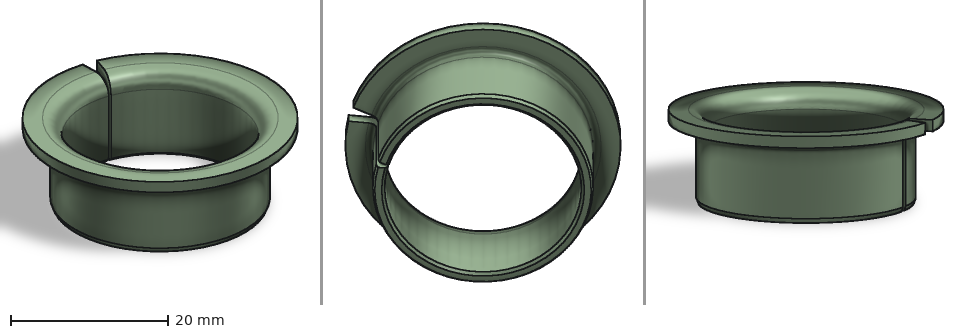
import cadquery as cq
import math

flange_radius = 17.5
height = 12.0
wall = 1.5
body_radius = 14.0
inner_bend_radius = 2.5
chamfer_height = 0.63
chamfer_width = 0.25
bore_chamfer = 0.4
gap_half_angle = 10.0
gap_half_width = 0.17

bore_radius = body_radius - wall
outer_bend_radius = inner_bend_radius - wall
bend_center_radius = bore_radius + inner_bend_radius
bend_center_z = height - inner_bend_radius


def bend_middle(radius):
    """Midpoint of a quarter-circle bend about the shared bend centre."""
    offset = radius * math.sqrt(0.5)
    return bend_center_radius - offset, bend_center_z + offset


def make_flanged_sleeve():
    """Revolve the constant-thickness wall about Z, with its foot at Z = 0."""
    return (
        cq.Workplane("XZ")
        .moveTo(bore_radius, bore_chamfer)
        .lineTo(bore_radius + bore_chamfer, 0)
        .lineTo(body_radius - chamfer_width, 0)
        .lineTo(body_radius, chamfer_height)
        .lineTo(body_radius, bend_center_z)
        .threePointArc(bend_middle(outer_bend_radius), (bend_center_radius, height - wall))
        .lineTo(flange_radius, height - wall)
        .lineTo(flange_radius, height)
        .lineTo(bend_center_radius, height)
        .threePointArc(bend_middle(inner_bend_radius), (bore_radius, bend_center_z))
        .close()
        .revolve(360, (0, 0), (0, 1))
        .rotate((0, 0, 0), (0, 0, 1), 180)
    )


def make_split_wedge():
    """Wedge that opens outward toward -X through the full height."""
    slope = math.tan(math.radians(gap_half_angle))
    apex_x = -(bore_radius - gap_half_width / slope)
    end_x = -(flange_radius + wall)
    end_half_width = (apex_x - end_x) * slope
    return (
        cq.Workplane("XY")
        .moveTo(apex_x, 0)
        .lineTo(end_x, end_half_width)
        .lineTo(end_x, -end_half_width)
        .close()
        .extrude(height)
    )


result = make_flanged_sleeve().cut(make_split_wedge())